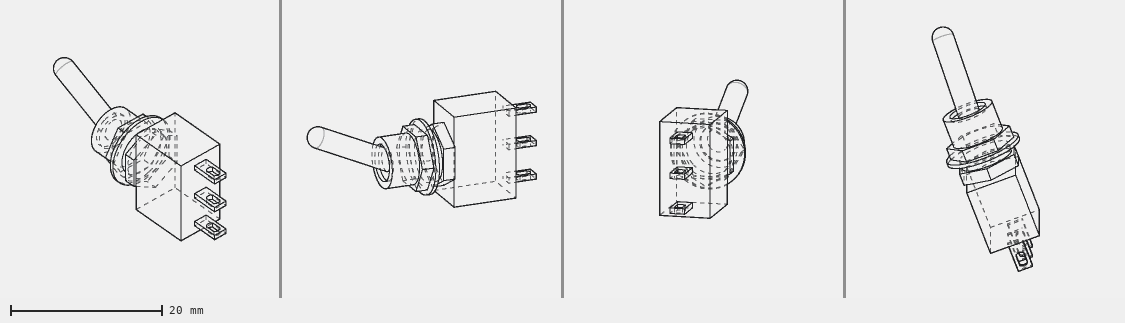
import cadquery as cq
import math


overall_length = 32.38

body_front = 19.53
body_length = 8.9
body_width = 6.93
body_height = 12.73
body_back = body_front + body_length

bushing_front = 10.65
bushing_diameter = body_width
recess_diameter = 5.02
recess_depth = 0.55

nut_across_flats = 7.7
nut_thickness = 1.65
washer_diameter = 10.17
washer_thickness = 0.52
front_nut_x = 14.57
washer_x = front_nut_x + nut_thickness
rear_nut_x = body_front - nut_thickness

lever_radius = 1.45
lever_tilt = 25
tip_x = lever_radius
tip_z = body_height / 2 - lever_radius
lever_embed = 1.62

terminal_count = 3
terminal_pitch = 4.73
terminal_thickness = 0.75
terminal_width = 2.05
terminal_length = overall_length - body_back
eyelet_length = 1.95
eyelet_width = 1.1
eyelet_end_margin = 0.45
eyelet_arc_depth = 0.23


def disc(x, diameter, thickness):
    """Cylinder on the X axis, starting at x."""
    return cq.Workplane("YZ", origin=(x, 0, 0)).circle(diameter / 2).extrude(thickness)


def hex_nut(x, turn):
    """Hexagon on the X axis; at zero turn two corners lie on the Y axis."""
    corner_diameter = nut_across_flats / math.cos(math.radians(30))
    nut = cq.Workplane("YZ", origin=(x, 0, 0)).polygon(6, corner_diameter).extrude(nut_thickness)
    return nut.rotate((0, 0, 0), (1, 0, 0), turn)


def bushing():
    barrel = disc(bushing_front, bushing_diameter, body_front - bushing_front)
    return barrel.cut(disc(bushing_front, recess_diameter, recess_depth))


def lever():
    """Round rod from inside the bushing up to a ball tip."""
    tilt = math.radians(lever_tilt)
    run = bushing_front + recess_depth + lever_embed - tip_x
    axis = cq.Vector(math.cos(tilt), 0, -math.sin(tilt))
    tip = cq.Vector(tip_x, 0, tip_z)
    rod = cq.Solid.makeCylinder(lever_radius, run / math.cos(tilt), tip, axis)
    ball = cq.Workplane("XY", origin=tip.toTuple()).sphere(lever_radius)
    return ball.union(cq.Workplane(obj=rod))


def terminal(z):
    """Flat tab with an eyelet that has straight sides and bowed ends."""
    blade = (
        cq.Workplane("XY", origin=(body_back, 0, z))
        .box(terminal_length, terminal_width, terminal_thickness, centered=(False, True, True))
    )
    half_width = eyelet_width / 2
    eyelet_back = terminal_length - eyelet_end_margin
    eyelet_front = eyelet_back - eyelet_length
    eyelet = (
        cq.Workplane("XY", origin=(body_back, 0, z))
        .moveTo(eyelet_front + eyelet_arc_depth, -half_width)
        .lineTo(eyelet_back - eyelet_arc_depth, -half_width)
        .threePointArc((eyelet_back, 0), (eyelet_back - eyelet_arc_depth, half_width))
        .lineTo(eyelet_front + eyelet_arc_depth, half_width)
        .threePointArc((eyelet_front, 0), (eyelet_front + eyelet_arc_depth, -half_width))
        .close()
        .extrude(terminal_thickness, both=True)
    )
    return blade.cut(eyelet)


result = (
    cq.Workplane("XY", origin=(body_front, 0, 0))
    .box(body_length, body_width, body_height, centered=(False, True, True))
    .union(bushing())
    .union(hex_nut(front_nut_x, 0))
    .union(disc(washer_x, washer_diameter, washer_thickness))
    .union(hex_nut(rear_nut_x, 90))
    .union(lever())
)
for index in range(terminal_count):
    offset = index - (terminal_count - 1) / 2
    result = result.union(terminal(offset * terminal_pitch))